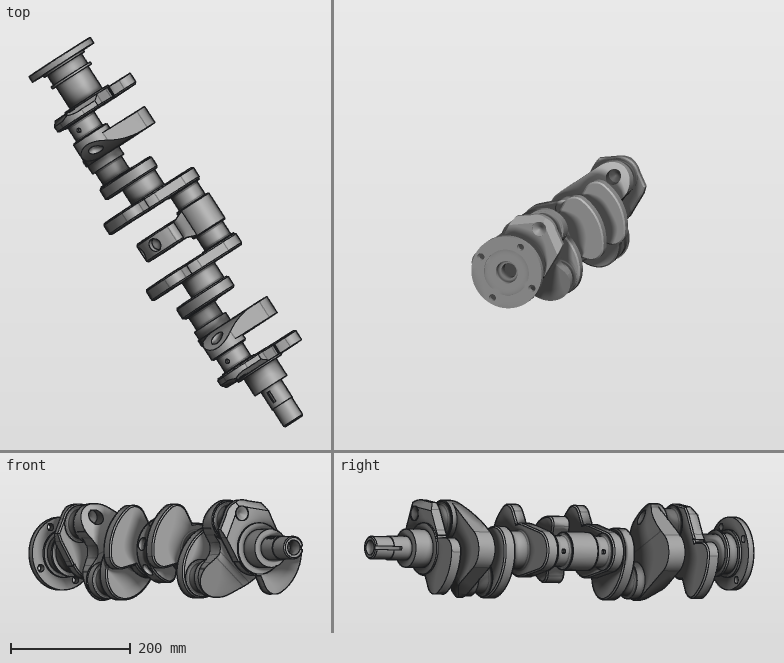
import cadquery as cq
import math


YAW = 32.75
PITCH = 0.8

THROW = 55.0
OUTER_PIN_ANGLE = 119.0
INNER_PIN_ANGLE = OUTER_PIN_ANGLE + 120.0
CENTRE_PIN_ANGLE = OUTER_PIN_ANGLE - 120.0

MAIN_RADIUS = 64.0 / 2
PIN_RADIUS = 51.5 / 2
JOURNAL_FILLET = 2.5
PIN_SHOULDER_HEIGHT = 1.5
OIL_HOLE_DIAMETER = 7.5
OIL_HOLE_DEPTH = 8.0

DRILL_POINT_ANGLE = 118.0
DRILL_CLEARANCE = 10.0

SLEEVE_END = 24.5
CENTRE_ARM_HALF_WIDTH = 17.5
FULL_WEB = (54.5, 76.5)
OVAL_WEB = (107.5, 129.5)
INNER_COLLAR_START = 158.5
SLANTED_WEB = (172.5, 204.5)
OUTER_LOBE_END = 213.5
END_WEB = (244.5, 264.5)
END_COLLAR_HEIGHT = 3.0

LOBE_RADIUS = 33.4
COLLAR_RADIUS = 31.0
MAIN_BOSS_RADIUS = 45.0
OVAL_HEEL = 40.0
OVAL_HALF_WIDTH = 46.0
END_COLLAR_RADIUS = 43.0
RIM_CHAMFER = 2.5

END_COUNTERWEIGHT_OFFSET = 150.5
FULL_COUNTERWEIGHT_OFFSET = 157.5
END_COUNTERWEIGHT_RADIUS = 85.0
FULL_COUNTERWEIGHT_RADIUS = 90.0
END_COUNTERWEIGHT_HALF_ANGLE = 44.0
FULL_COUNTERWEIGHT_HALF_ANGLE = 46.0
COUNTERWEIGHT_ROOT_HALF_ANGLE = 54.0
COUNTERWEIGHT_CORNER_RADIUS = 22.0
COUNTERWEIGHT_ROOT_RADIUS = 46.0

END_SHOULDER = 47.9
END_SHOULDER_ROOT = (9.6, 46.5)
END_LOBE_CORNER = (62.0, 46.0)
END_LOBE_TIP = (84.0, 16.0)

END_BEVEL_ANGLE = 37.0
END_BEVEL_DISTANCE = 65.0
END_BEVEL_WIDTH = 12.0
END_BEVEL_DEPTH = 8.0

PIN_BORE_DIAMETER = 24.6
END_WEB_BORE_DEPTH = 9.0
SLANTED_WEB_BORE_STATION = 188.0
SLANTED_WEB_BORE_DEPTH = 22.0
PIN_BORE_OFFSET = 67.0

SLANT_ARM_CENTRE = 39.0
SLANT_ARM_RADIUS = 36.0
WAIST_X = -40.0
WAIST_HALF_HEIGHT = 10.0
WAIST_LOBE_X = -58.5
WAIST_LOBE_Y = 34.0
WAIST_HOLLOW = 2.0
HOLLOW_ANGLE = 114.0
HOLLOW_START = 12.0
HOLLOW_RADIUS = 115.0
FACET_ANGLE = 228.0
FACET_START = 29.0
FACET_SLOPE = 30.0
FACET_BLEND_CHORD = 11.5

CENTRE_ARM_ANGLE = -11.0
CENTRE_ARM_OFFSET = -6.0
CENTRE_ARM_RADIUS = 56.5
CENTRE_ARM_FLANK = 3.0
CENTRE_ARM_CORNER_RADIUS = 14.0
NECK_HALF_HEIGHT = 22.0
NECK_FLARE_START = 16.0
NECK_FLARE_END = 34.0
BALANCE_HOLE_DIAMETER = 22.0
BALANCE_HOLE_DEPTH = 18.0
BALANCE_HOLE_MIDDLE = 169.5
BALANCE_HOLE_STEP = 43.0

NOSE_SEAT_END = 301.5
NOSE_STEP = 336.5
NOSE_END = 372.2
NOSE_ROOT_RADIUS = 40.0 / 2
NOSE_TIP_RADIUS = 38.0 / 2
NOSE_CHAMFER = 2.0
NOSE_BORE_DIAMETER = 24.6
NOSE_BORE_DEPTH = 30.0
KEY_WIDTH = 6.0
KEY_DEPTH = 4.0
KEY_SPAN = (308.0, 328.0)
TIP_KEY_START = 322.0
TIP_KEY_ANGLE = CENTRE_PIN_ANGLE

SEAT_END = -312.0
RING_END = -316.0
FLANGE_BOSS_END = -335.5
FLANGE_START = -339.5
FLANGE_END = -350.5
RING_RADIUS = 78.0 / 2
NECK_RADIUS = 68.0 / 2
FLANGE_RADIUS = 61.0
FLANGE_BOSS_RADIUS = 40.0
FLANGE_RECESS_RADIUS = 78.0 / 2
FLANGE_RECESS_DEPTH = 2.0
PILOT_DIAMETER = 38.0
PILOT_DEPTH = 15.0
FLANGE_BORE_DIAMETER = 26.0
FLANGE_BORE_DEPTH = 35.0
BOLT_CIRCLE_RADIUS = 50.5
BOLT_HOLE_DIAMETER = 12.0
BOLT_COUNT = 4

OVERLAP = 1.0
REACH = 150.0


def polar(radius, angle):
    a = math.radians(angle)
    return (radius * math.cos(a), radius * math.sin(a))


def disc(radius, start, end, centre=(0.0, 0.0)):
    return cq.Workplane("XY", origin=(0, 0, start)).center(*centre).circle(radius).extrude(end - start)


def prism(points, start, end):
    return cq.Workplane("XY", origin=(0, 0, start)).polyline(points).close().extrude(end - start)


def capsule(centre_a, radius_a, centre_b, radius_b, start, end):
    """Two circles wrapped by their outer tangent lines."""
    dx = centre_b[0] - centre_a[0]
    dy = centre_b[1] - centre_a[1]
    line = math.degrees(math.atan2(dy, dx))
    lean = math.degrees(math.acos((radius_a - radius_b) / math.hypot(dx, dy)))

    def on_circle(centre, radius, angle):
        offset = polar(radius, angle)
        return (centre[0] + offset[0], centre[1] + offset[1])

    return (
        cq.Workplane("XY", origin=(0, 0, start))
        .moveTo(*on_circle(centre_a, radius_a, line - lean))
        .lineTo(*on_circle(centre_b, radius_b, line - lean))
        .threePointArc(on_circle(centre_b, radius_b, line), on_circle(centre_b, radius_b, line + lean))
        .lineTo(*on_circle(centre_a, radius_a, line + lean))
        .threePointArc(
            on_circle(centre_a, radius_a, line + 180), on_circle(centre_a, radius_a, line - lean)
        )
        .close()
        .extrude(end - start)
    )


def journal(radius, start, end, centre=(0.0, 0.0)):
    """A round journal whose two ends flare into the webs with a fillet."""
    f = JOURNAL_FILLET
    bend = f * (1 - math.sqrt(0.5))
    profile = (
        cq.Workplane("XZ", origin=(centre[0], centre[1], 0))
        .moveTo(0, start - OVERLAP)
        .lineTo(radius + f, start - OVERLAP)
        .lineTo(radius + f, start)
        .threePointArc((radius + bend, start + bend), (radius, start + f))
        .lineTo(radius, end - f)
        .threePointArc((radius + bend, end - bend), (radius + f, end))
        .lineTo(radius + f, end + OVERLAP)
        .lineTo(0, end + OVERLAP)
        .close()
    )
    return profile.revolve(360, (0, 0, 0), (0, 1, 0))


def crank_pin(angle, start, end):
    """A pin between two thin shoulders, with an oil hole on its outermost side."""
    centre = polar(THROW, angle)
    first_shoulder = start + PIN_SHOULDER_HEIGHT
    last_shoulder = end - PIN_SHOULDER_HEIGHT
    pin = journal(PIN_RADIUS, first_shoulder, last_shoulder, centre)
    pin = pin.union(disc(COLLAR_RADIUS, start - OVERLAP, first_shoulder, centre))
    pin = pin.union(disc(COLLAR_RADIUS, last_shoulder, end + OVERLAP, centre))
    middle = (start + end) / 2
    return pin.cut(radial_hole(angle, THROW + PIN_RADIUS, middle, OIL_HOLE_DIAMETER, OIL_HOLE_DEPTH))


def drill(mouth, outward, diameter, depth):
    """A drilled hole with a conical bottom; `depth` is measured down to the point."""
    mouth = cq.Vector(*mouth)
    outward = cq.Vector(*outward)
    radius = diameter / 2
    cone = radius / math.tan(math.radians(DRILL_POINT_ANGLE / 2))
    point = mouth - outward * depth
    shoulder = point + outward * cone
    tip = cq.Solid.makeCone(0, radius, cone, point, outward)
    barrel = cq.Solid.makeCylinder(radius, depth - cone + DRILL_CLEARANCE, shoulder, outward)
    return cq.Workplane(tip).union(cq.Workplane(barrel))


def radial_hole(angle, surface_radius, station, diameter, depth):
    return drill((*polar(surface_radius, angle), station), (*polar(1, angle), 0), diameter, depth)


def counterweight(angle, radius, tip, start, end):
    """A fan about the main axis with straight flanks; `tip` is half the angle its rim spans."""
    root = COUNTERWEIGHT_ROOT_HALF_ANGLE
    fan = (
        cq.Workplane("XY", origin=(0, 0, start))
        .moveTo(0, 0)
        .lineTo(*polar(COUNTERWEIGHT_ROOT_RADIUS, angle - root))
        .lineTo(*polar(radius, angle - tip))
        .threePointArc(polar(radius, angle), polar(radius, angle + tip))
        .lineTo(*polar(COUNTERWEIGHT_ROOT_RADIUS, angle + root))
        .close()
        .extrude(end - start)
    )
    for side in (-1, 1):
        corner = polar(radius, angle + side * tip)
        middle = (corner[0], corner[1], (start + end) / 2)
        fan = fan.edges(cq.NearestToPointSelector(middle)).fillet(COUNTERWEIGHT_CORNER_RADIUS)
    return fan


def profile_cut(angle, profile):
    """Sweeps a (distance, station) profile sideways, distance being measured along `angle`."""
    return profile.extrude(REACH, both=True).rotate((0, 0, 0), (0, 0, 1), angle)


def end_web():
    """Web between an outer pin and the end main journal."""
    start, end = END_WEB
    pin = polar(THROW, OUTER_PIN_ANGLE)
    root_x, root_y = END_SHOULDER_ROOT
    shoulder = prism(
        [
            (0, -root_y),
            (root_x, -root_y),
            (END_SHOULDER, -END_SHOULDER),
            (END_LOBE_CORNER[0], -END_LOBE_CORNER[1]),
            (END_LOBE_TIP[0], -END_LOBE_TIP[1]),
            END_LOBE_TIP,
            END_LOBE_CORNER,
            (END_SHOULDER, END_SHOULDER),
            (root_x, root_y),
            (0, root_y),
        ],
        start,
        end,
    )
    web = shoulder.rotate((0, 0, 0), (0, 0, 1), OUTER_PIN_ANGLE)
    web = web.union(disc(LOBE_RADIUS, start, end, pin))
    web = web.union(disc(MAIN_BOSS_RADIUS, start, end))
    far = END_BEVEL_DISTANCE + REACH
    drop = END_BEVEL_DEPTH * REACH / END_BEVEL_WIDTH
    for side in (-1, 1):
        corners = [(END_BEVEL_DISTANCE, end), (far, end), (far, end - drop)]
        bevel = cq.Workplane("XZ").polyline(corners).close()
        web = web.cut(profile_cut(OUTER_PIN_ANGLE + side * END_BEVEL_ANGLE, bevel))
    weight_angle = OUTER_PIN_ANGLE - END_COUNTERWEIGHT_OFFSET
    web = web.union(
        counterweight(weight_angle, END_COUNTERWEIGHT_RADIUS, END_COUNTERWEIGHT_HALF_ANGLE, start, end)
    )
    web = web.faces("<Z").edges().chamfer(RIM_CHAMFER)
    return web.union(disc(END_COLLAR_RADIUS, end - OVERLAP, end + END_COLLAR_HEIGHT))


def slanted_web():
    """Web that steps from the inner pin across to the outer pin, hollowed on both sides."""
    start, end = SLANTED_WEB
    outer = polar(THROW, OUTER_PIN_ANGLE)
    inner = polar(THROW, INNER_PIN_ANGLE)
    arm = polar(SLANT_ARM_CENTRE, CENTRE_PIN_ANGLE)
    waist = (
        cq.Workplane("XY", origin=(0, 0, start))
        .moveTo(0, -WAIST_LOBE_Y)
        .lineTo(WAIST_LOBE_X, -WAIST_LOBE_Y)
        .lineTo(WAIST_X, -WAIST_HALF_HEIGHT)
        .threePointArc((WAIST_X + WAIST_HOLLOW, 0), (WAIST_X, WAIST_HALF_HEIGHT))
        .lineTo(WAIST_LOBE_X, WAIST_LOBE_Y)
        .lineTo(0, WAIST_LOBE_Y)
        .close()
        .extrude(end - start)
    )
    web = waist.rotate((0, 0, 0), (0, 0, 1), CENTRE_PIN_ANGLE)
    web = web.union(capsule(arm, SLANT_ARM_RADIUS, inner, LOBE_RADIUS, start, end))
    web = web.union(capsule(arm, SLANT_ARM_RADIUS, outer, LOBE_RADIUS, start, end))
    web = web.union(disc(LOBE_RADIUS, end - OVERLAP, OUTER_LOBE_END, outer))

    hollow_end = HOLLOW_START + HOLLOW_RADIUS
    bend = HOLLOW_RADIUS * math.sqrt(0.5)
    hollow = (
        cq.Workplane("XZ")
        .moveTo(HOLLOW_START, start)
        .threePointArc(
            (HOLLOW_START + bend, start + HOLLOW_RADIUS - bend), (hollow_end, start + HOLLOW_RADIUS)
        )
        .lineTo(hollow_end, start)
        .close()
    )
    web = web.cut(profile_cut(HOLLOW_ANGLE, hollow))

    half_slope = math.radians(FACET_SLOPE / 2)
    blend_x = FACET_START + FACET_BLEND_CHORD * math.cos(half_slope)
    blend_z = end - FACET_BLEND_CHORD * math.sin(half_slope)
    blend_radius = FACET_BLEND_CHORD / (2 * math.sin(half_slope))
    mid_x = FACET_START + blend_radius * math.sin(half_slope)
    mid_z = end - blend_radius * (1 - math.cos(half_slope))
    drop = (REACH - blend_x) * math.tan(math.radians(FACET_SLOPE))
    facet = (
        cq.Workplane("XZ")
        .moveTo(FACET_START, end)
        .threePointArc((mid_x, mid_z), (blend_x, blend_z))
        .lineTo(REACH, blend_z - drop)
        .lineTo(REACH, end)
        .close()
    )
    web = web.cut(profile_cut(FACET_ANGLE, facet))
    return web.union(disc(COLLAR_RADIUS, INNER_COLLAR_START, start + OVERLAP, inner))


def oval_web():
    """Web between an inner pin and an intermediate main journal."""
    start, end = OVAL_WEB
    reach = THROW + LOBE_RADIUS
    half_length = (reach + OVAL_HEEL) / 2
    web = (
        cq.Workplane("XY", origin=(reach - half_length, 0, start))
        .ellipse(half_length, OVAL_HALF_WIDTH)
        .extrude(end - start)
        .rotate((0, 0, 0), (0, 0, 1), INNER_PIN_ANGLE)
    )
    return web.faces("<Z or >Z").edges().chamfer(RIM_CHAMFER)


def full_web():
    """Web between an intermediate main journal and a centre pin, with its counterweight."""
    pin = polar(THROW, CENTRE_PIN_ANGLE)
    web = capsule((0, 0), MAIN_BOSS_RADIUS, pin, LOBE_RADIUS, *FULL_WEB)
    weight_angle = CENTRE_PIN_ANGLE + FULL_COUNTERWEIGHT_OFFSET
    web = web.union(
        counterweight(weight_angle, FULL_COUNTERWEIGHT_RADIUS, FULL_COUNTERWEIGHT_HALF_ANGLE, *FULL_WEB)
    )
    return web.faces("<Z or >Z").edges().chamfer(RIM_CHAMFER)


def half_crank():
    """Everything from the middle sleeve out to the end web, on the nose side."""
    half = full_web().union(oval_web()).union(slanted_web()).union(end_web())
    half = half.union(crank_pin(CENTRE_PIN_ANGLE, SLEEVE_END, FULL_WEB[0]))
    half = half.union(journal(MAIN_RADIUS, FULL_WEB[1], OVAL_WEB[0]))
    half = half.union(crank_pin(INNER_PIN_ANGLE, OVAL_WEB[1], INNER_COLLAR_START))
    half = half.union(crank_pin(OUTER_PIN_ANGLE, OUTER_LOBE_END, END_WEB[0]))
    bore_x, bore_y = polar(PIN_BORE_OFFSET, OUTER_PIN_ANGLE)
    end_mouth = (bore_x, bore_y, END_WEB[1])
    slanted_mouth = (bore_x, bore_y, SLANTED_WEB_BORE_STATION)
    half = half.cut(drill(end_mouth, (0, 0, 1), PIN_BORE_DIAMETER, END_WEB_BORE_DEPTH))
    return half.cut(drill(slanted_mouth, (0, 0, -1), PIN_BORE_DIAMETER, SLANTED_WEB_BORE_DEPTH))


def centre_arm():
    """Sleeve joining the two centre pins, with the drilled arm opposite it."""
    pin = polar(THROW, CENTRE_PIN_ANGLE)
    half_width = CENTRE_ARM_HALF_WIDTH
    flank_height = math.sqrt(CENTRE_ARM_RADIUS**2 - (CENTRE_ARM_FLANK - CENTRE_ARM_OFFSET) ** 2)
    arm = (
        cq.Workplane("XY", origin=(0, 0, -half_width))
        .moveTo(CENTRE_ARM_FLANK, -flank_height)
        .lineTo(CENTRE_ARM_FLANK, flank_height)
        .threePointArc((CENTRE_ARM_OFFSET - CENTRE_ARM_RADIUS, 0), (CENTRE_ARM_FLANK, -flank_height))
        .close()
        .extrude(2 * half_width)
        .edges("|Z")
        .fillet(CENTRE_ARM_CORNER_RADIUS)
    )
    arm = arm.faces("<Z or >Z").edges().chamfer(RIM_CHAMFER)
    neck = (
        cq.Workplane("XZ")
        .polyline(
            [
                (0, -half_width),
                (NECK_FLARE_START, -half_width),
                (NECK_FLARE_END, -SLEEVE_END),
                (THROW, -SLEEVE_END),
                (THROW, SLEEVE_END),
                (NECK_FLARE_END, SLEEVE_END),
                (NECK_FLARE_START, half_width),
                (0, half_width),
            ]
        )
        .close()
        .extrude(NECK_HALF_HEIGHT, both=True)
    )
    arm = arm.rotate((0, 0, 0), (0, 0, 1), CENTRE_ARM_ANGLE)
    arm = arm.union(neck.rotate((0, 0, 0), (0, 0, 1), CENTRE_PIN_ANGLE))
    surface = CENTRE_ARM_RADIUS - CENTRE_ARM_OFFSET
    for step in (-1, 0, 1):
        angle = BALANCE_HOLE_MIDDLE + step * BALANCE_HOLE_STEP
        arm = arm.cut(radial_hole(angle, surface, 0, BALANCE_HOLE_DIAMETER, BALANCE_HOLE_DEPTH))
    return arm.union(disc(MAIN_RADIUS, -SLEEVE_END, SLEEVE_END, pin))


def keyway(angle, surface_radius, start, end):
    slot = cq.Workplane("XY", origin=(surface_radius, 0, (start + end) / 2))
    return slot.box(2 * KEY_DEPTH, KEY_WIDTH, end - start).rotate((0, 0, 0), (0, 0, 1), angle)


def nose():
    seat = disc(MAIN_RADIUS, END_WEB[1], NOSE_SEAT_END)
    root = disc(NOSE_ROOT_RADIUS, NOSE_SEAT_END - OVERLAP, NOSE_STEP)
    tip = disc(NOSE_TIP_RADIUS, NOSE_STEP - OVERLAP, NOSE_END).faces(">Z").chamfer(NOSE_CHAMFER)
    body = seat.union(root).union(tip)
    body = body.cut(disc(NOSE_BORE_DIAMETER / 2, NOSE_END - NOSE_BORE_DEPTH, NOSE_END))
    body = body.cut(keyway(OUTER_PIN_ANGLE, NOSE_ROOT_RADIUS, *KEY_SPAN))
    return body.cut(keyway(TIP_KEY_ANGLE, NOSE_TIP_RADIUS, TIP_KEY_START, NOSE_END))


def flange():
    body = disc(MAIN_RADIUS, SEAT_END, -END_WEB[1])
    body = body.union(disc(RING_RADIUS, RING_END, SEAT_END))
    body = body.union(disc(NECK_RADIUS, FLANGE_START, RING_END))
    body = body.union(disc(FLANGE_BOSS_RADIUS, FLANGE_START, FLANGE_BOSS_END))
    body = body.union(disc(FLANGE_RADIUS, FLANGE_END, FLANGE_START))
    recess_floor = FLANGE_END + FLANGE_RECESS_DEPTH
    body = body.cut(disc(FLANGE_RECESS_RADIUS, FLANGE_END, recess_floor))
    body = body.cut(disc(PILOT_DIAMETER / 2, recess_floor, FLANGE_END + PILOT_DEPTH))
    body = body.cut(disc(FLANGE_BORE_DIAMETER / 2, recess_floor, FLANGE_END + FLANGE_BORE_DEPTH))
    for i in range(BOLT_COUNT):
        centre = polar(BOLT_CIRCLE_RADIUS, OUTER_PIN_ANGLE + i * 360 / BOLT_COUNT)
        body = body.cut(disc(BOLT_HOLE_DIAMETER / 2, FLANGE_END, FLANGE_START, centre))
    return body


half = half_crank()
crank = centre_arm().union(half).union(half.mirror("XY")).union(nose()).union(flange())

result = (
    crank.rotate((0, 0, 0), (1, 0, 0), 90)
    .rotate((0, 0, 0), (1, 0, 0), -PITCH)
    .rotate((0, 0, 0), (0, 0, 1), YAW)
)